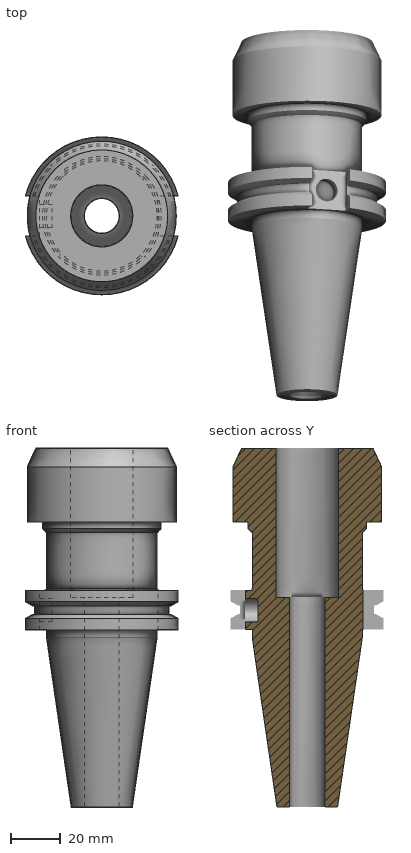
import cadquery as cq
import math


gauge_diameter = 44.45
taper_ratio = 7 / 24
taper_length = 68.25
gauge_radius = gauge_diameter / 2
taper_end_radius = gauge_radius - taper_length * taper_ratio / 2

flange_radius = 63.5 / 2
flange_bottom = 3.175
flange_height = 15.875
flange_top = flange_bottom + flange_height
flange_middle = flange_bottom + flange_height / 2

groove_floor_radius = 28.2
groove_floor_width = 3.5
groove_channel_depth = 0.7
groove_foot_radius = groove_floor_radius + groove_channel_depth
groove_flank_angle = 30
groove_flank_rise = (flange_radius - groove_foot_radius) * math.tan(math.radians(groove_flank_angle))
groove_mouth_width = groove_floor_width + 2 * groove_flank_rise

neck_radius = gauge_radius
neck_fillet = 0.8
collar_radius = 23.9
collar_chamfer = collar_radius - neck_radius

projection = 76.2
nut_radius = 30.0
nut_height = 29.7
nut_bottom = projection - nut_height
nut_chamfer_height = 7.5
nut_top_radius = 26.5
collar_height = 2.6
collar_bottom = nut_bottom - collar_height

slot_width = 16.1
shallow_slot_distance = 25.0
deep_slot_distance = 22.6
recess_diameter = 9.2
recess_depth = 5.0

tool_bore_diameter = 25.0
tool_bore_depth = 60.0
through_bore_diameter = 14.0


def make_body():
    """Solid of revolution: taper, grooved flange, neck, collar and nut."""
    outline = (
        cq.Workplane("XZ")
        .moveTo(0, -taper_length)
        .lineTo(taper_end_radius, -taper_length)
        .lineTo(gauge_radius, 0)
        .lineTo(gauge_radius, flange_bottom)
        .lineTo(flange_radius, flange_bottom)
        .lineTo(flange_radius, flange_middle - groove_mouth_width / 2)
        .lineTo(groove_foot_radius, flange_middle - groove_floor_width / 2)
        .lineTo(groove_floor_radius, flange_middle - groove_floor_width / 2)
        .lineTo(groove_floor_radius, flange_middle + groove_floor_width / 2)
        .lineTo(groove_foot_radius, flange_middle + groove_floor_width / 2)
        .lineTo(flange_radius, flange_middle + groove_mouth_width / 2)
        .lineTo(flange_radius, flange_top)
        .lineTo(neck_radius + neck_fillet, flange_top)
        .radiusArc((neck_radius, flange_top + neck_fillet), neck_fillet)
        .lineTo(neck_radius, collar_bottom - collar_chamfer)
        .lineTo(collar_radius, collar_bottom)
        .lineTo(collar_radius, nut_bottom)
        .lineTo(nut_radius, nut_bottom)
        .lineTo(nut_radius, projection - nut_chamfer_height)
        .lineTo(nut_top_radius, projection)
        .lineTo(0, projection)
        .close()
    )
    return outline.revolve(360, (0, 0, 0), (0, 1, 0))


def make_slot(side, floor_distance):
    """Block that cuts a drive slot on the given X side (-1 or +1) of the flange."""
    slot_depth = flange_radius - floor_distance
    slot_middle = side * (floor_distance + slot_depth / 2)
    block = cq.Workplane("XY").box(slot_depth, slot_width, flange_height)
    return block.translate((slot_middle, 0, flange_middle))


def make_recess():
    """Blind round recess in the floor of the shallow slot, pointing at the axis."""
    return (
        cq.Workplane("YZ", origin=(-shallow_slot_distance, 0, flange_middle))
        .circle(recess_diameter / 2)
        .extrude(recess_depth)
    )


def make_bores():
    """Tool bore from the top and the smaller bore through the whole length."""
    through_bore = (
        cq.Workplane("XY", origin=(0, 0, -taper_length))
        .circle(through_bore_diameter / 2)
        .extrude(taper_length + projection)
    )
    tool_bore = (
        cq.Workplane("XY", origin=(0, 0, projection - tool_bore_depth))
        .circle(tool_bore_diameter / 2)
        .extrude(tool_bore_depth)
    )
    return through_bore.union(tool_bore)


result = (
    make_body()
    .cut(make_slot(-1, shallow_slot_distance))
    .cut(make_slot(1, deep_slot_distance))
    .cut(make_recess())
    .cut(make_bores())
)